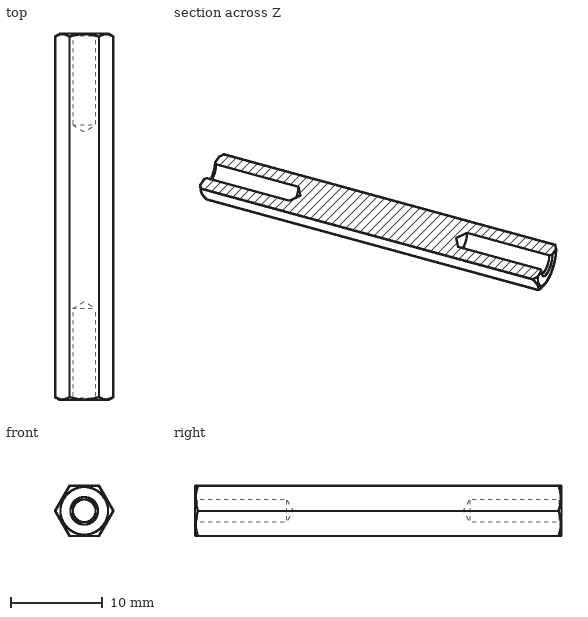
import cadquery as cq
import math

length = 40.0
across_flats = 5.5
across_corners = across_flats / math.cos(math.radians(30))

face_diameter = 5.2
chamfer_angle = 30.0
chamfer_diameter = 2 * across_corners
chamfer_depth = (chamfer_diameter - face_diameter) / 2 * math.tan(math.radians(chamfer_angle))

hole_diameter = 2.5
mouth_diameter = 3.0
mouth_angle = 45.0
hole_depth = 10.0
drill_point_angle = 118.0


def turned_about_y(points):
    """Revolve a (radius, y) outline about the Y axis."""
    return cq.Workplane("XY").polyline(points).close().revolve(360, (0, 0), (0, 1))


def hexagonal_bar():
    bar = cq.Workplane("XZ").polygon(6, across_corners).extrude(length / 2, both=True)
    half = length / 2
    envelope = turned_about_y([
        (0, -half),
        (face_diameter / 2, -half),
        (chamfer_diameter / 2, -half + chamfer_depth),
        (chamfer_diameter / 2, half - chamfer_depth),
        (face_diameter / 2, half),
        (0, half),
    ])
    return bar.intersect(envelope)


def drilled_hole():
    """Hole entering the -Y end face."""
    end = -length / 2
    radius = hole_diameter / 2
    mouth_radius = mouth_diameter / 2
    mouth_depth = (mouth_radius - radius) * math.tan(math.radians(mouth_angle))
    point_depth = radius / math.tan(math.radians(drill_point_angle / 2))
    return turned_about_y([
        (0, end),
        (mouth_radius, end),
        (radius, end + mouth_depth),
        (radius, end + hole_depth),
        (0, end + hole_depth + point_depth),
    ])


hole = drilled_hole()
result = hexagonal_bar().cut(hole).cut(hole.mirror("XZ"))